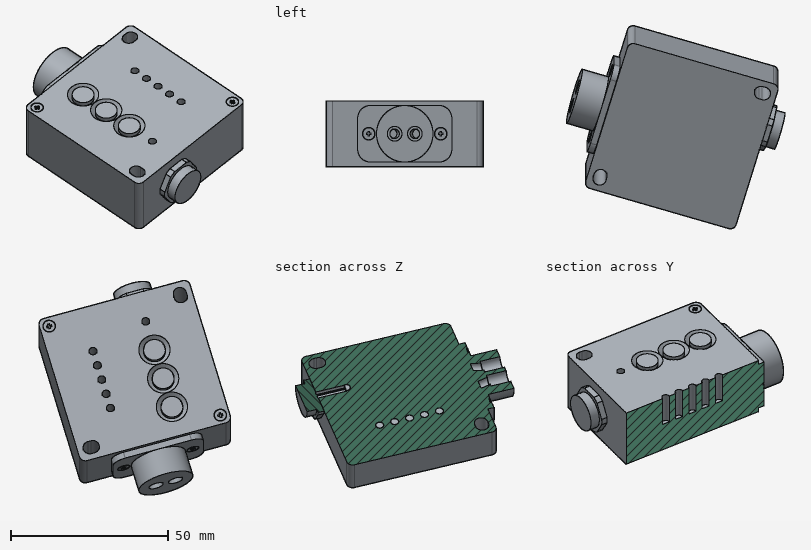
import cadquery as cq
import math

housing_side = 50.0
housing_height = 21.0
corner_radius = 2.0
half_side = housing_side / 2
top_z = housing_height / 2

slot_width = 4.2
slot_length = 5.2
slot_offset_along = 20.5
slot_offset_across = 21.0

screw_recess_diameter = 4.0
screw_head_diameter = 3.8
cross_span = 1.6
cross_width = 0.5
cross_depth = 0.4
cover_screw_offset = 22.0
flange_screw_offset = 11.45

panel_pitch = 5.0
lamp_count = 5
lamp_row_y = 10.95
lamp_hole_diameter = 2.5
lamp_hole_depth = housing_height / 2
button_count = 3
button_row_y = -8.0
button_diameter = 7.0
button_recess_diameter = 9.95
signal_hole_x = 3 * panel_pitch

flange_width = 30.0
flange_height = 18.0
flange_thickness = 2.05
flange_corner_radius = 4.0
barrel_diameter = 18.0
barrel_length = 8.6
contact_offset = 3.2
contact_entry_diameter = 4.7
contact_entry_depth = 6.6
contact_bore_diameter = 3.0
contact_bore_depth = 3.3
contact_bore_shift = 0.8
flange_face_x = -half_side - flange_thickness
barrel_face_x = flange_face_x - barrel_length

fitting_y = -7.8
nut_across_flats = 14.0
nut_corner_diameter = 15.0
nut_thickness = 2.05
cap_diameter = 12.1
cap_length = 3.15
pin_diameter = 0.65
pin_bore_diameter = 2.5
pin_bore_depth = 9.6


def plane_facing_left(x, y=0):
    """Sketch plane at x whose normal points to -X; its local x axis runs along -Y."""
    return cq.Workplane(cq.Plane(origin=(x, y, 0), xDir=(0, -1, 0), normal=(-1, 0, 0)))


def plane_facing_right(x, y=0):
    """Sketch plane at x whose normal points to +X; its local x axis runs along +Y."""
    return cq.Workplane(cq.Plane(origin=(x, y, 0), xDir=(0, 1, 0), normal=(1, 0, 0)))


def top_plane():
    return cq.Workplane("XY").workplane(offset=top_z)


def flush_disc_cut(centre, recess_diameter, disc_diameter):
    """Conical 45 degree recess that leaves a flush round disc standing in its middle."""
    depth = (recess_diameter - disc_diameter) / 2
    recess = centre.circle(recess_diameter / 2).extrude(-depth, taper=45)
    disc = centre.circle(disc_diameter / 2).extrude(-depth)
    return recess.cut(disc)


def screw_cut(plane, x, y):
    """Recess around a flush screw head, and the cross recess in the head."""
    centre = plane.center(x, y)
    ring = flush_disc_cut(centre, screw_recess_diameter, screw_head_diameter)
    bar = centre.rect(cross_span, cross_width).extrude(-cross_depth)
    upright = centre.rect(cross_width, cross_span).extrude(-cross_depth)
    return ring.union(bar).union(upright)


def button_cut(x):
    """Recess around one flush push button."""
    centre = top_plane().center(x, button_row_y)
    return flush_disc_cut(centre, button_recess_diameter, button_diameter)


def contact_cut(side):
    """Wide contact entry in the barrel, then a narrower bore that leans away from the middle."""
    entry = (
        plane_facing_left(barrel_face_x)
        .center(side * contact_offset, 0)
        .circle(contact_entry_diameter / 2)
        .extrude(-contact_entry_depth)
    )
    bore = (
        plane_facing_left(barrel_face_x + contact_entry_depth)
        .center(side * contact_offset, 0)
        .circle(contact_bore_diameter / 2)
        .workplane(offset=-contact_bore_depth)
        .center(side * contact_bore_shift, 0)
        .circle(contact_bore_diameter / 2)
        .loft(ruled=True)
    )
    return entry.union(bore)


def make_housing():
    body = (
        cq.Workplane("XY")
        .box(housing_side, housing_side, housing_height)
        .edges("|Z")
        .fillet(corner_radius)
    )

    flange = (
        plane_facing_left(-half_side)
        .rect(flange_width, flange_height)
        .extrude(flange_thickness)
        .edges("|X")
        .fillet(flange_corner_radius)
    )
    barrel = plane_facing_left(flange_face_x).circle(barrel_diameter / 2).extrude(barrel_length)
    body = body.union(flange).union(barrel)

    for side in (-1, 1):
        body = body.cut(contact_cut(side))
        body = body.cut(screw_cut(plane_facing_left(flange_face_x), side * flange_screw_offset, 0))

    for side in (-1, 1):
        body = body.cut(screw_cut(top_plane(), side * cover_screw_offset, side * cover_screw_offset))

    slot_along_y = (
        top_plane()
        .center(-slot_offset_across, slot_offset_along)
        .slot2D(slot_length, slot_width, 90)
        .extrude(-housing_height)
    )
    slot_along_x = (
        top_plane()
        .center(slot_offset_along, -slot_offset_across)
        .slot2D(slot_length, slot_width)
        .extrude(-housing_height)
    )
    body = body.cut(slot_along_y).cut(slot_along_x)

    lamp_points = [((i - (lamp_count - 1) / 2) * panel_pitch, lamp_row_y) for i in range(lamp_count)]
    hole_points = lamp_points + [(signal_hole_x, button_row_y)]
    holes = (
        top_plane()
        .pushPoints(hole_points)
        .circle(lamp_hole_diameter / 2)
        .extrude(-lamp_hole_depth)
    )
    body = body.cut(holes)

    for i in range(button_count):
        body = body.cut(button_cut((2 * i - button_count) * panel_pitch))

    pin_bore = (
        plane_facing_right(half_side, fitting_y)
        .circle(pin_bore_diameter / 2)
        .extrude(-pin_bore_depth)
    )
    return body.cut(pin_bore)


def make_fitting():
    """Hexagonal nut with its corners turned round, a cap in front and a pin behind."""
    base = plane_facing_right(half_side, fitting_y)
    hexagon_diameter = nut_across_flats / math.cos(math.radians(30))
    hexagon = base.polygon(6, hexagon_diameter).extrude(nut_thickness)
    nut = hexagon.intersect(base.circle(nut_corner_diameter / 2).extrude(nut_thickness))
    cap = base.circle(cap_diameter / 2).extrude(nut_thickness + cap_length)
    pin = base.circle(pin_diameter / 2).extrude(-pin_bore_depth)
    return nut.union(cap).union(pin)


housing = make_housing()
fitting = make_fitting()
result = cq.Compound.makeCompound([housing.val(), fitting.val()])